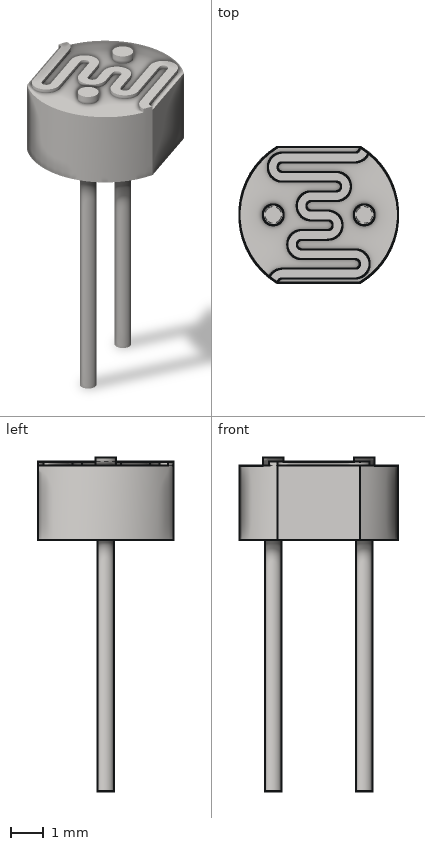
import cadquery as cq
import math

body_diameter = 4.88
body_width = 4.17
body_height = 2.286

overall_height = 10.25
lead_diameter = 0.51
lead_spacing = 2.794
head_diameter = 0.64
head_height = 0.254
lead_length = overall_height - body_height - head_height

track_width = 0.3
track_height = 0.127
row_pitch = 0.594
track_center_y = -0.02
end_bend_x = 1.115
bend_centers_x = [-end_bend_x, 0.54, -0.23, 0.28, -0.52, end_bend_x]

row_count = len(bend_centers_x) + 1
first_row_y = track_center_y + row_pitch * (row_count - 1) / 2
bend_radius = row_pitch / 2


def make_body():
    disc = cq.Workplane("XY").circle(body_diameter / 2).extrude(body_height)
    flats = cq.Workplane("XY").rect(body_diameter, body_width).extrude(overall_height)
    return disc.intersect(flats)


def make_lead(x):
    lead = cq.Workplane("XY").center(x, 0).circle(lead_diameter / 2).extrude(-lead_length)
    head = (
        cq.Workplane("XY", origin=(x, 0, body_height))
        .circle(head_diameter / 2)
        .extrude(head_height)
    )
    return lead, head


def make_row(x_start, x_end, y):
    return (
        cq.Workplane("XY", origin=((x_start + x_end) / 2, y, body_height))
        .rect(abs(x_end - x_start), track_width)
        .extrude(track_height)
    )


def make_bend(x, y, side):
    """Half ring about (x, y), bulging to +X when side is 1 and to -X when it is -1."""
    outer_radius = bend_radius + track_width / 2
    inner_radius = bend_radius - track_width / 2
    ring = (
        cq.Workplane("XY", origin=(x, y, body_height))
        .circle(outer_radius)
        .circle(inner_radius)
        .extrude(track_height)
    )
    half = (
        cq.Workplane("XY", origin=(x + side * outer_radius / 2, y, body_height))
        .rect(outer_radius, 2 * outer_radius)
        .extrude(track_height)
    )
    return ring.intersect(half)


def make_track():
    centers_x = [end_bend_x] + bend_centers_x + [-end_bend_x]
    track = make_bend(end_bend_x, first_row_y + bend_radius, 1)
    for row in range(row_count):
        x_start = centers_x[row]
        x_end = centers_x[row + 1]
        y = first_row_y - row * row_pitch
        side = math.copysign(1, x_end - x_start)
        track = track.union(make_row(x_start, x_end, y))
        track = track.union(make_bend(x_end, y - bend_radius, side))
    outline = make_body().translate((0, 0, track_height))
    return track.intersect(outline)


result = make_body().union(make_track())
for lead_x in (-lead_spacing / 2, lead_spacing / 2):
    for piece in make_lead(lead_x):
        result = result.union(piece)